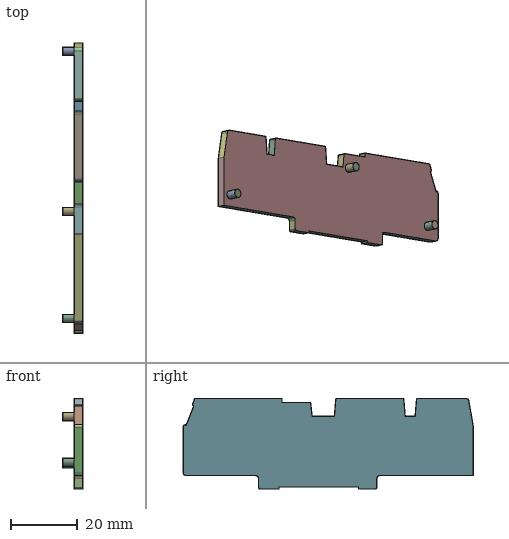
import cadquery as cq

LENGTH = 87.01
HEIGHT = 27.2
PLATE_THICKNESS = 2.6
PIN_LENGTH = 3.4
PIN_DIAMETER = 2.5

FOOT_HEIGHT = 4.0
FOOT_RECESS = 0.55
NOTCH_FLOOR = HEIGHT - 5.35
LOW_TOP = HEIGHT - 1.2

FOOT_NEAR = 22.6
FOOT_FAR = 58.1
RECESS_NEAR = 28.75
RECESS_FAR = 52.5

NOTCH_TAPER = 0.45
NARROW_NOTCH = (66.6, 69.5)
WIDE_NOTCH = (38.7, 45.3)
LOW_TOP_NEAR = 29.7

TOP_NEAR = 3.5
LIP_HEIGHT = 1.9
LIP_DEPTH = 0.6
LIP_UNDERCUT = 0.45
END_SLOPE = 0.4
LEDGE_TOP = 19.3
LEDGE_GROOVE = 0.3

FAR_WALL_TOP = 18.7
FAR_TOP_INSET = 1.5

BASE_RADIUS = 1.0
FOOT_ROOT_RADIUS = 0.9
LEDGE_RADIUS = 0.8
TOP_FAR_RADIUS = 1.0
TOP_NEAR_RADIUS = 0.4
LIP_RADIUS = 0.15
NOTCH_RADIUS = 0.5
FOOT_RADIUS = 0.5

PIN_CENTRES = [(4.45, 8.05), (36.5, 21.7), (84.55, 7.5)]


def end_slope_y(z):
    """Y of the sloped near end below the lip, at height z."""
    return TOP_NEAR + LIP_DEPTH - END_SLOPE * (HEIGHT - z)


def make_plate():
    lip_bottom = HEIGHT - LIP_HEIGHT
    lip_root = lip_bottom - LIP_UNDERCUT
    groove_floor = LEDGE_TOP - LEDGE_GROOVE
    groove_y = end_slope_y(groove_floor)
    wide_near, wide_far = WIDE_NOTCH
    narrow_near, narrow_far = NARROW_NOTCH

    base_corner = (0, FOOT_HEIGHT)
    foot_near_root = (FOOT_NEAR, FOOT_HEIGHT)
    foot_far_root = (FOOT_FAR, FOOT_HEIGHT)
    foot_near_corner = (FOOT_NEAR, 0)
    foot_far_corner = (FOOT_FAR, 0)
    top_far_corner = (LENGTH - FAR_TOP_INSET, HEIGHT)
    narrow_far_rim = (narrow_far + NOTCH_TAPER, HEIGHT)
    narrow_near_rim = (narrow_near - NOTCH_TAPER, HEIGHT)
    wide_far_rim = (wide_far + NOTCH_TAPER, HEIGHT)
    wide_near_rim = (wide_near - NOTCH_TAPER, LOW_TOP)
    top_near_corner = (TOP_NEAR, HEIGHT)
    lip_corner = (TOP_NEAR - END_SLOPE * LIP_HEIGHT, lip_bottom)
    ledge_corner = (0, LEDGE_TOP)

    outline = [
        base_corner,
        foot_near_root,
        foot_near_corner,
        (RECESS_NEAR, 0),
        (RECESS_NEAR, FOOT_RECESS),
        (RECESS_FAR, FOOT_RECESS),
        (RECESS_FAR, 0),
        foot_far_corner,
        foot_far_root,
        (LENGTH, FOOT_HEIGHT),
        (LENGTH, FAR_WALL_TOP),
        top_far_corner,
        narrow_far_rim,
        (narrow_far, NOTCH_FLOOR),
        (narrow_near, NOTCH_FLOOR),
        narrow_near_rim,
        wide_far_rim,
        (wide_far, NOTCH_FLOOR),
        (wide_near, NOTCH_FLOOR),
        wide_near_rim,
        (LOW_TOP_NEAR, LOW_TOP),
        (LOW_TOP_NEAR, HEIGHT),
        top_near_corner,
        lip_corner,
        (end_slope_y(lip_root), lip_root),
        (groove_y, groove_floor),
        (groove_y, LEDGE_TOP),
        ledge_corner,
    ]
    plate = cq.Workplane("YZ").polyline(outline).close().extrude(PLATE_THICKNESS)

    rounded_corners = [
        (base_corner, BASE_RADIUS),
        (foot_near_root, FOOT_ROOT_RADIUS),
        (foot_far_root, FOOT_ROOT_RADIUS),
        (foot_near_corner, FOOT_RADIUS),
        (foot_far_corner, FOOT_RADIUS),
        (top_far_corner, TOP_FAR_RADIUS),
        (narrow_far_rim, NOTCH_RADIUS),
        (narrow_near_rim, NOTCH_RADIUS),
        (wide_far_rim, NOTCH_RADIUS),
        (wide_near_rim, NOTCH_RADIUS),
        (top_near_corner, TOP_NEAR_RADIUS),
        (lip_corner, LIP_RADIUS),
        (ledge_corner, LEDGE_RADIUS),
    ]
    for (y, z), radius in rounded_corners:
        corner_edge = cq.selectors.NearestToPointSelector((PLATE_THICKNESS / 2, y, z))
        plate = plate.edges("|X").edges(corner_edge).fillet(radius)
    return plate


def make_pins():
    """Locating pins standing on the -X face of the plate."""
    return cq.Workplane("YZ").pushPoints(PIN_CENTRES).circle(PIN_DIAMETER / 2).extrude(-PIN_LENGTH)


result = make_plate().union(make_pins())